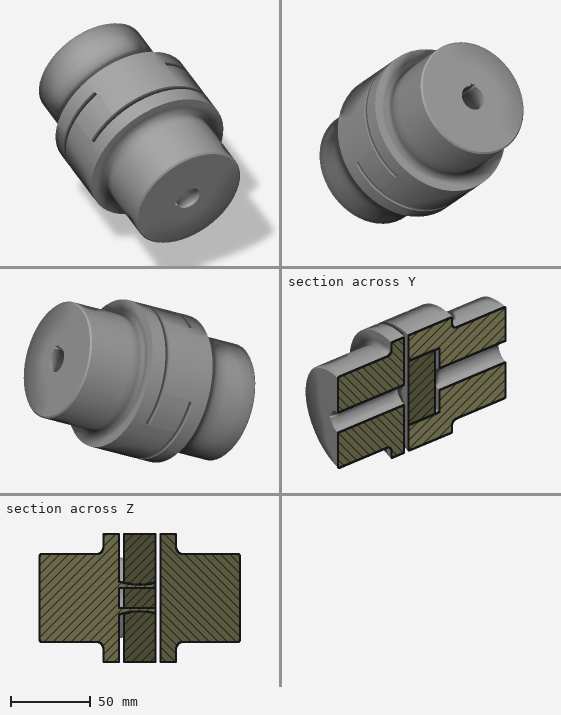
import cadquery as cq

LENGTH = 126.0
FLANGE_RADIUS = 47.5
HUB_RADIUS = 37.5
BORE_DIAMETER = 16.0
KEY_WIDTH = 3.3
KEY_TOP = 9.3
RIM_CHAMFER = 1.0
ROOT_FILLET = 3.5

FLANGE_THICKNESS = 10.0
SPIDER_WIDTH = 19.9
AXIAL_GAP = 3.0
CORE_RADIUS = 26.0
PAD_HALF_WIDTH = 11.8
PAD_CROWN = 1.4
PAD_ANGLES = (45, 135, 225, 315)

half_length = LENGTH / 2
half_spider = SPIDER_WIDTH / 2
flange_inner = half_spider + AXIAL_GAP
flange_outer = flange_inner + FLANGE_THICKNESS


def disc(radius, x_start, x_end):
    """Solid cylinder on the X axis."""
    return cq.Workplane("YZ").workplane(offset=x_start).circle(radius).extrude(x_end - x_start)


def about_axis(shape, angle):
    """Turn a shape about the X axis."""
    return shape.rotate((0, 0, 0), (1, 0, 0), angle)


def crowned_side(angle, side):
    """Block bounded on one side (+1 or -1) by a crowned wall parallel to the pad radius at an angle."""
    depth = 2 * FLANGE_RADIUS
    edge = side * (PAD_HALF_WIDTH - PAD_CROWN)
    block = (
        cq.Workplane("XY")
        .moveTo(-flange_inner, edge)
        .threePointArc((0, side * PAD_HALF_WIDTH), (flange_inner, edge))
        .lineTo(flange_inner, -side * depth)
        .lineTo(-flange_inner, -side * depth)
        .close()
        .extrude(depth)
    )
    return about_axis(block, angle - 90)


def pad_space(angle):
    """Barrel-shaped space between two neighbouring claws, as long as the gap between the flanges."""
    clockwise_wall = crowned_side(angle, 1)
    anticlockwise_wall = crowned_side(angle, -1)
    ring = disc(FLANGE_RADIUS, -flange_inner, flange_inner).cut(
        disc(CORE_RADIUS, -flange_inner, flange_inner)
    )
    return ring.intersect(clockwise_wall).intersect(anticlockwise_wall)


def make_claws():
    """Pair of claws above and below the axis, reaching in +X from the left flange."""
    ring = disc(FLANGE_RADIUS, -flange_inner, half_spider).cut(
        disc(CORE_RADIUS, -flange_inner, half_spider)
    )
    reach = 2 * FLANGE_RADIUS
    upper_quarter = (
        cq.Workplane("YZ")
        .workplane(offset=-flange_inner)
        .polyline([(0, 0), (reach, reach), (-reach, reach)])
        .close()
        .extrude(2 * flange_inner)
    )
    upper = ring.intersect(upper_quarter)
    lower = ring.intersect(about_axis(upper_quarter, 180))
    claws = upper.union(lower)
    for angle in PAD_ANGLES:
        claws = claws.cut(pad_space(angle))
    return claws


def make_hub():
    """Left hub: boss, filleted flange, claws, and a bore with a keyway."""
    boss = disc(HUB_RADIUS, -half_length, -flange_outer).faces("<X").chamfer(RIM_CHAMFER)
    hub = boss.union(disc(FLANGE_RADIUS, -flange_outer, -flange_inner))
    boss_root = cq.selectors.RadiusNthSelector(1)
    hub = hub.edges("%CIRCLE").edges(boss_root).edges(">X").fillet(ROOT_FILLET)
    hub = hub.union(make_claws())
    keyway = cq.Workplane("XY").box(LENGTH, KEY_WIDTH, KEY_TOP, centered=(True, True, False))
    bore = disc(BORE_DIAMETER / 2, -half_length, -flange_inner)
    return hub.cut(bore).cut(keyway)


def make_spider():
    """Solid core with four crowned pads that fill the spaces between the claws."""
    spider = disc(CORE_RADIUS, -half_spider, half_spider)
    pad_band = disc(FLANGE_RADIUS, -half_spider, half_spider)
    for angle in PAD_ANGLES:
        spider = spider.union(pad_space(angle).intersect(pad_band))
    return spider


left_hub = make_hub()
right_hub = about_axis(left_hub.rotate((0, 0, 0), (0, 0, 1), 180), 90)
spider = make_spider()

result = cq.Compound.makeCompound([left_hub.val(), right_hub.val(), spider.val()])